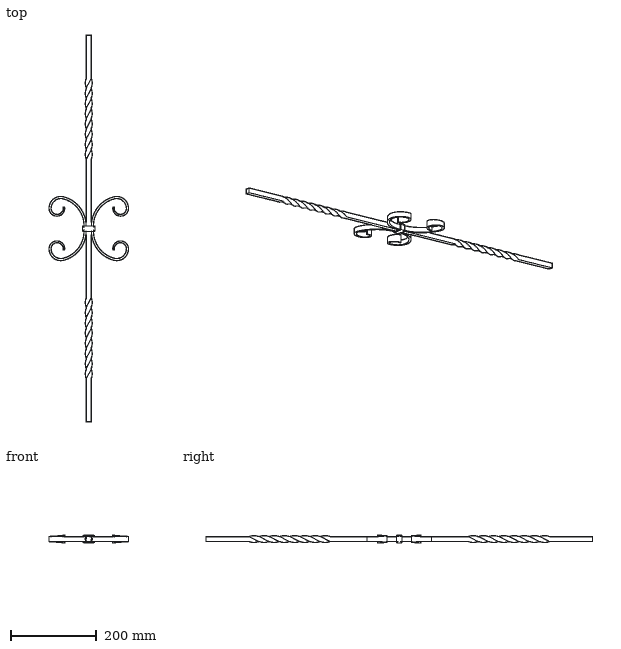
import math
import cadquery as cq

bar_length = 900.0
bar_side = 12.0
twist_start = 160.0
twist_length = 190.0
twist_turns = 2

collar_length = 13.0
collar_x = 30.0
collar_z = 19.0
collar_corner = 5.0
collar_crown = 1.0

strip_thickness = 5.0
scroll_reach = 93.0
sweep_radius = 67.5
shoulder_radius = 25.0
coil_radius = 16.0
coil_angle = 190.0
tip_thickness = 4.0
tip_width = 19.0
coil_sections = 8

strip_width = bar_side
opening_x = bar_side + 2 * strip_thickness
opening_z = bar_side
twist_end = twist_start + twist_length


def straight_stretch(start, end):
    """Plain square stretch of the bar between two places along Y."""
    return cq.Workplane("XZ", origin=(0, end, 0)).rect(bar_side, bar_side).extrude(end - start)


def twisted_stretch(start, end):
    """Square stretch of the bar between two places along Y, twisted about its axis."""
    profile = cq.Workplane("XZ", origin=(0, end, 0)).rect(bar_side, bar_side)
    return profile.twistExtrude(end - start, 360 * twist_turns)


def make_bar():
    return (
        straight_stretch(-bar_length / 2, -twist_end)
        .union(twisted_stretch(-twist_end, -twist_start))
        .union(straight_stretch(-twist_start, twist_start))
        .union(twisted_stretch(twist_start, twist_end))
        .union(straight_stretch(twist_end, bar_length / 2))
    )


def crowned_slab(width, height):
    """Slab whose two long sides bulge outward by the crown, halfway along the collar."""
    side = width / 2
    edge = side - collar_crown
    end = collar_length / 2
    return (
        cq.Workplane("XY")
        .moveTo(edge, -end)
        .threePointArc((side, 0), (edge, end))
        .lineTo(-edge, end)
        .threePointArc((-side, 0), (-edge, -end))
        .close()
        .extrude(height / 2, both=True)
    )


def make_collar():
    bulging_in_x = crowned_slab(collar_x, collar_z)
    bulging_in_z = crowned_slab(collar_z, collar_x).rotate((0, 0, 0), (0, 1, 0), 90)
    body = bulging_in_x.intersect(bulging_in_z)
    body = body.edges("not(<Y or >Y)").fillet(collar_corner)
    return body.cut(cq.Workplane("XY").box(opening_x, collar_length, opening_z))


def point_at(center, radius, degrees):
    angle = math.radians(degrees)
    return (center[0] + radius * math.cos(angle), center[1] + radius * math.sin(angle))


def bent_strip(center, radius, start, end):
    """Strip of constant section bent about a Z axis, between two directions in degrees."""
    outer = radius + strip_thickness / 2
    inner = radius - strip_thickness / 2
    middle = (start + end) / 2
    return (
        cq.Workplane("XY")
        .moveTo(*point_at(center, outer, start))
        .threePointArc(point_at(center, outer, middle), point_at(center, outer, end))
        .lineTo(*point_at(center, inner, end))
        .threePointArc(point_at(center, inner, middle), point_at(center, inner, start))
        .close()
        .extrude(strip_width / 2, both=True)
    )


def flared_coil(center, start, end):
    """End coil of the strip, growing wider and thinner towards its tip."""
    sections = []
    for step in range(coil_sections + 1):
        share = step / coil_sections
        angle = start + share * (end - start)
        thickness = strip_thickness + share * (tip_thickness - strip_thickness)
        width = strip_width + share * (tip_width - strip_width)
        plane = cq.Plane(
            origin=(*point_at(center, coil_radius, angle), 0),
            xDir=(*point_at((0, 0), 1, angle), 0),
            normal=(*point_at((0, 0), 1, angle + 90), 0),
        )
        sections.append(cq.Workplane(plane).rect(thickness, width).wires().val())
    return cq.Workplane(cq.Solid.makeLoft(sections))


def make_left_scroll():
    """Scroll on the -X side: flat under the collar, then sweep, shoulder and coil at both ends."""
    flat_x = -(bar_side + strip_thickness) / 2
    coil_left = -(scroll_reach - strip_thickness / 2)

    sweep_center = (flat_x - sweep_radius, collar_length / 2)
    center_gap = sweep_radius - shoulder_radius
    sweep_angle = math.degrees(math.acos((coil_left + shoulder_radius - sweep_center[0]) / center_gap))
    shoulder_center = point_at(sweep_center, center_gap, sweep_angle)
    coil_center = (coil_left + coil_radius, shoulder_center[1])

    half = (
        bent_strip(sweep_center, sweep_radius, 0, sweep_angle)
        .union(bent_strip(shoulder_center, shoulder_radius, sweep_angle, 180))
        .union(flared_coil(coil_center, 180, 180 + coil_angle))
    )
    flat = cq.Workplane("XY").box(strip_thickness, collar_length, strip_width).translate((flat_x, 0, 0))
    return flat.union(half).union(half.mirror("XZ"))


bar = make_bar()
collar = make_collar()
left_scroll = make_left_scroll()
scrolls = [left_scroll, left_scroll.mirror("YZ")]

result = cq.Compound.makeCompound([bar.val(), collar.val(), *[scroll.val() for scroll in scrolls]])